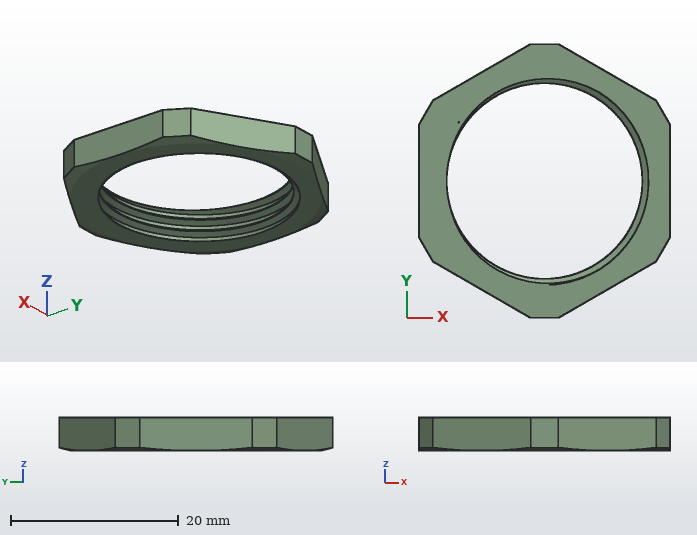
import cadquery as cq
import math

across_flats = 30.0
across_corners = 32.7
thickness = 4.0
chamfer_angle = 15.0
pitch = 1.5
major_radius = 12.43
bore_radius = 11.67
crest_flat = 0.1
root_flat = 0.5
overlap = 0.03

thread_depth = major_radius - bore_radius
flank_slope = (pitch - crest_flat - root_flat) / (2 * thread_depth)


def hexagon(width):
    return cq.Workplane("XY").polygon(6, width / math.cos(math.pi / 6)).extrude(thickness)


def blank():
    """Hexagon with flats facing +X and -X, its corners cut by a turned hexagon."""
    flats = hexagon(across_flats).rotate((0, 0, 0), (0, 0, 1), 30)
    corner_cuts = hexagon(across_corners)
    return flats.intersect(corner_cuts)


def chamfer_envelope():
    """Round body with a conical underside that starts at the middle of the flats."""
    inner = across_flats / 2
    outer = across_corners
    rise = (outer - inner) * math.tan(math.radians(chamfer_angle))
    top = thickness + rise
    profile = [(0, 0), (inner, 0), (outer, rise), (outer, top), (0, top)]
    return cq.Workplane("XZ").polyline(profile).close().revolve(360, (0, 0, 0), (0, 1, 0))


def thread_groove():
    """Helical groove whose root meets the top face at +X and runs out past both faces."""
    turns_below_top = 4
    turns = turns_below_top + 1
    start_z = thickness - turns_below_top * pitch
    tool_radius = bore_radius - overlap
    root_half = root_flat / 2
    mouth_half = root_half + (thread_depth + overlap) * flank_slope
    profile = [
        (tool_radius, -mouth_half),
        (major_radius, -root_half),
        (major_radius, root_half),
        (tool_radius, mouth_half),
    ]
    helix = cq.Wire.makeHelix(pitch, turns * pitch, bore_radius)
    groove = cq.Workplane("XZ").polyline(profile).close().sweep(cq.Workplane(helix), isFrenet=True)
    return groove.translate((0, 0, start_z))


bore = cq.Workplane("XY").circle(bore_radius).extrude(thickness)
result = blank().intersect(chamfer_envelope()).cut(thread_groove()).cut(bore)